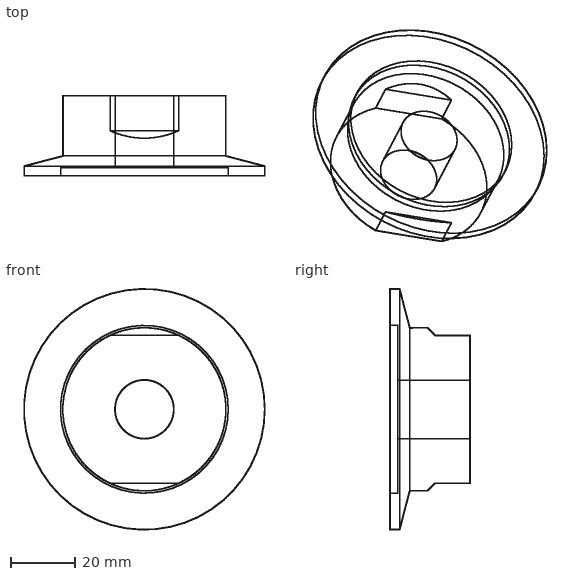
import cadquery as cq

flange_diameter = 75.0
rim_thickness = 3.1
hub_diameter = 50.8
cone_end = 6.2
total_length = 25.0
bore_diameter = 18.2

recess_diameter = 52.2
recess_depth = 2.5

across_flats = 46.05
flat_length = 10.9

flange_radius = flange_diameter / 2
hub_radius = hub_diameter / 2
bore_radius = bore_diameter / 2
recess_radius = recess_diameter / 2


def make_body():
    """Revolve the half section, including bore and recess, about the Y axis."""
    half_section = [
        (bore_radius, recess_depth),
        (recess_radius, recess_depth),
        (recess_radius, 0),
        (flange_radius, 0),
        (flange_radius, rim_thickness),
        (hub_radius, cone_end),
        (hub_radius, total_length),
        (bore_radius, total_length),
    ]
    return cq.Workplane("XY").polyline(half_section).close().revolve(360, (0, 0), (0, 1))


def make_flat_cutter(side):
    """Cutter for one flat that runs out to the hub surface at 45 degrees."""
    flat_height = across_flats / 2
    runout = hub_radius - flat_height
    flat_start = total_length - flat_length
    slope_length = 2 * runout
    outline = [
        (total_length, side * flat_height),
        (flat_start, side * flat_height),
        (flat_start - slope_length, side * (flat_height + slope_length)),
        (total_length, side * (flat_height + slope_length)),
    ]
    return cq.Workplane("YZ").polyline(outline).close().extrude(hub_radius, both=True)


result = make_body()
for side in (1, -1):
    result = result.cut(make_flat_cutter(side))